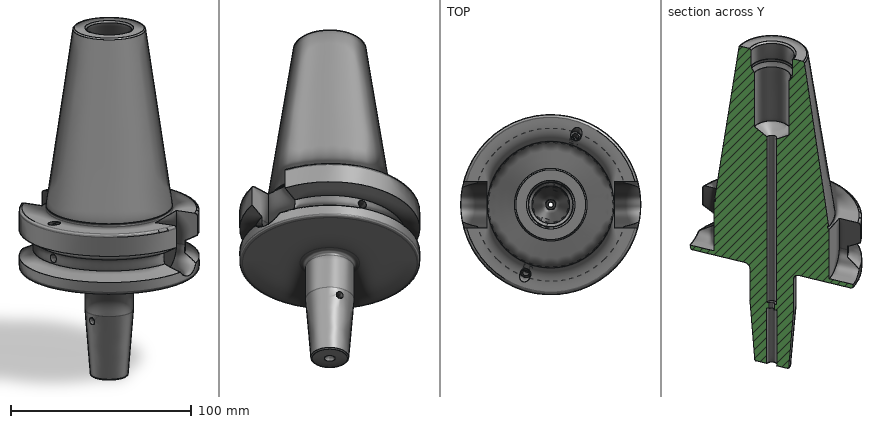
import cadquery as cq
import math


gauge_radius = 34.925
taper_length = 101.8
taper_radius_slope = 7 / 24 / 2
taper_end_chamfer = 0.8
taper_end_z = -1.4
neck_radius = 34.5
neck_fillet = 0.8
taper_small_radius = gauge_radius - taper_radius_slope * taper_length
taper_large_radius = gauge_radius - taper_radius_slope * taper_end_z

flange_radius = 50.0
flange_top_z = -3.0
flange_bottom_z = -38.0
flange_fillet = 1.5
groove_center_z = -23.2
groove_floor_radius = 42.5
groove_floor_width = 6.5
groove_flank_angle = 30.0
groove_depth = flange_radius - groove_floor_radius
groove_flank_height = groove_depth * math.tan(math.radians(groove_flank_angle))
groove_floor_top_z = groove_center_z + groove_floor_width / 2
groove_floor_bottom_z = groove_center_z - groove_floor_width / 2

keyway_width = 25.7
keyway_floor_x = 35.4
keyway_bottom_z = -35.0

nose_end_z = -100.0
nose_radius = 13.5
nose_tip_radius = 10.5
nose_taper_angle = 4.5
nose_fillet = 3.0
nose_end_chamfer = 0.7
nose_taper_top_z = nose_end_z + (nose_radius - nose_tip_radius) / math.tan(math.radians(nose_taper_angle))

pilot_radius = 12.5
pilot_chamfer = 1.0
pilot_depth = 11.0
pilot_step_radius = 12.25
pilot_step_depth = 1.5
thread_radius = 10.5
thread_lead_in_depth = 2.5
thread_end_depth = 50.0
drill_tip_angle = 118.0
channel_radius = 2.75
orifice_radius = 1.4
shank_bore_radius = 3.0
shank_bore_depth = 36.0
orifice_length = 4.0

first_port_angle = 70.0
port_angles = (first_port_angle, first_port_angle + 180)
flange_port_radius_from_axis = 41.8
flange_port_tilt = 35.0
flange_port_radius = 3.0
flange_port_depth = 2.5
flange_port_tip_radius = 1.8
flange_port_tip_depth = 6.0
groove_port_radius = 2.4
groove_port_depth = 6.5
nose_port_z = -66.0
nose_port_radius = 2.0
nose_port_depth = 5.0


def revolve_about_axis(outline):
    """Turn a closed (radius, z) outline a full circle about the Z axis."""
    return outline.close().revolve(360, (0, 0, 0), (0, 1, 0))


def make_body():
    """Outer turned shape, from the nose tip up to the small end of the taper."""
    top = taper_length
    shoulder_radius = taper_small_radius + taper_radius_slope * taper_end_chamfer
    tip_slope = math.tan(math.radians(nose_taper_angle))
    fillet_bottom_z = flange_bottom_z - nose_fillet
    outline = (
        cq.Workplane("XZ")
        .moveTo(0, nose_end_z)
        .lineTo(nose_tip_radius - nose_end_chamfer, nose_end_z)
        .lineTo(nose_tip_radius + nose_end_chamfer * tip_slope, nose_end_z + nose_end_chamfer)
        .lineTo(nose_radius, nose_taper_top_z)
        .lineTo(nose_radius, fillet_bottom_z)
        .radiusArc((nose_radius + nose_fillet, flange_bottom_z), nose_fillet)
        .lineTo(flange_radius - flange_fillet, flange_bottom_z)
        .radiusArc((flange_radius, flange_bottom_z + flange_fillet), -flange_fillet)
        .lineTo(flange_radius, groove_floor_bottom_z - groove_flank_height)
        .lineTo(groove_floor_radius, groove_floor_bottom_z)
        .lineTo(groove_floor_radius, groove_floor_top_z)
        .lineTo(flange_radius, groove_floor_top_z + groove_flank_height)
        .lineTo(flange_radius, flange_top_z - flange_fillet)
        .radiusArc((flange_radius - flange_fillet, flange_top_z), -flange_fillet)
        .lineTo(neck_radius + neck_fillet, flange_top_z)
        .radiusArc((neck_radius, flange_top_z + neck_fillet), neck_fillet)
        .lineTo(neck_radius, taper_end_z)
        .lineTo(taper_large_radius, taper_end_z)
        .lineTo(shoulder_radius, top - taper_end_chamfer)
        .lineTo(shoulder_radius - taper_end_chamfer, top)
        .lineTo(0, top)
    )
    return revolve_about_axis(outline)


def make_bores():
    """Pull-stud bore, coolant channel, orifice and tool-shank bore as one cutter."""
    top = taper_length
    pilot_step_end_z = top - pilot_depth - pilot_step_depth
    thread_end_z = top - thread_end_depth
    tip_height = (thread_radius - channel_radius) / math.tan(math.radians(drill_tip_angle / 2))
    shank_bore_top_z = nose_end_z + shank_bore_depth
    orifice_top_z = shank_bore_top_z + orifice_length
    outline = (
        cq.Workplane("XZ")
        .moveTo(0, top)
        .lineTo(pilot_radius + pilot_chamfer, top)
        .lineTo(pilot_radius, top - pilot_chamfer)
        .lineTo(pilot_radius, top - pilot_depth)
        .lineTo(pilot_step_radius, top - pilot_depth)
        .lineTo(pilot_step_radius, pilot_step_end_z)
        .lineTo(thread_radius, pilot_step_end_z - thread_lead_in_depth)
        .lineTo(thread_radius, thread_end_z)
        .lineTo(channel_radius, thread_end_z - tip_height)
        .lineTo(channel_radius, orifice_top_z)
        .lineTo(orifice_radius, orifice_top_z)
        .lineTo(orifice_radius, shank_bore_top_z)
        .lineTo(shank_bore_radius, shank_bore_top_z)
        .lineTo(shank_bore_radius, nose_end_z)
        .lineTo(0, nose_end_z)
    )
    return revolve_about_axis(outline)


def make_keyway():
    """Round-bottomed drive slot on the +X side, open at the top and outwards."""
    half_width = keyway_width / 2
    return (
        cq.Workplane("YZ", origin=(keyway_floor_x, 0, 0))
        .moveTo(-half_width, flange_top_z)
        .lineTo(-half_width, keyway_bottom_z + half_width)
        .threePointArc((0, keyway_bottom_z), (half_width, keyway_bottom_z + half_width))
        .lineTo(half_width, flange_top_z)
        .close()
        .extrude(flange_radius - keyway_floor_x)
    )


def drill(radius, depth, entry, direction):
    """Cylinder sunk to the given depth, with extra length outside the entry face."""
    clearance = 2 * radius
    start = entry - direction * clearance
    return cq.Workplane(cq.Solid.makeCylinder(radius, depth + clearance, start, direction))


def make_ports():
    """Flange, groove and nose ports in the XZ plane, on the +X side."""
    tilt = math.radians(flange_port_tilt)
    flange_entry = cq.Vector(flange_port_radius_from_axis, 0, flange_top_z)
    flange_direction = cq.Vector(-math.sin(tilt), 0, -math.cos(tilt))
    inward = cq.Vector(-1, 0, 0)
    groove_entry = cq.Vector(groove_floor_radius, 0, groove_center_z)
    nose_drop = nose_taper_top_z - nose_port_z
    nose_surface_radius = nose_radius - nose_drop * math.tan(math.radians(nose_taper_angle))
    nose_entry = cq.Vector(nose_surface_radius, 0, nose_port_z)
    return (
        drill(flange_port_radius, flange_port_depth, flange_entry, flange_direction)
        .union(drill(flange_port_tip_radius, flange_port_tip_depth, flange_entry, flange_direction))
        .union(drill(groove_port_radius, groove_port_depth, groove_entry, inward))
        .union(drill(nose_port_radius, nose_port_depth, nose_entry, inward))
    )


def spin(shape, angle):
    """Rotate a shape about the Z axis."""
    return shape.rotate((0, 0, 0), (0, 0, 1), angle)


result = make_body().cut(make_bores())

for keyway_angle in (0, 180):
    result = result.cut(spin(make_keyway(), keyway_angle))

for port_angle in port_angles:
    result = result.cut(spin(make_ports(), port_angle))